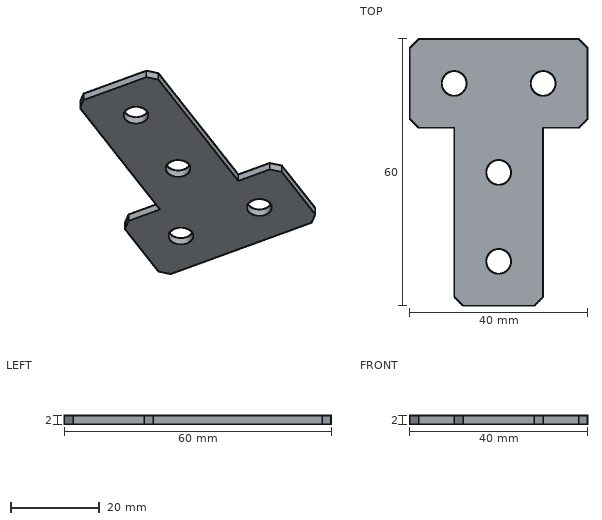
import cadquery as cq

length = 60.0
grid = length / 3
thickness = grid / 10
corner_chamfer = grid / 10
hole_diameter = 5.5

head_width = 2 * grid
head_depth = grid
stem_width = grid

top_y = length / 2
bottom_y = -length / 2
shoulder_y = top_y - head_depth

hole_centers = [
    (-grid / 2, top_y - grid / 2),
    (grid / 2, top_y - grid / 2),
    (0, top_y - 1.5 * grid),
    (0, top_y - 2.5 * grid),
]


def chamfered_bar(width, y_low, y_high):
    """Flat bar centred on X = 0 with its four upright corners chamfered."""
    return (
        cq.Workplane("XY")
        .center(0, (y_low + y_high) / 2)
        .rect(width, y_high - y_low)
        .extrude(thickness)
        .edges("|Z")
        .chamfer(corner_chamfer)
    )


head = chamfered_bar(head_width, shoulder_y, top_y)
stem = chamfered_bar(stem_width, bottom_y, shoulder_y + head_depth / 2)
plate = head.union(stem).clean()

holes = cq.Workplane("XY").pushPoints(hole_centers).circle(hole_diameter / 2).extrude(thickness)
result = plate.cut(holes)